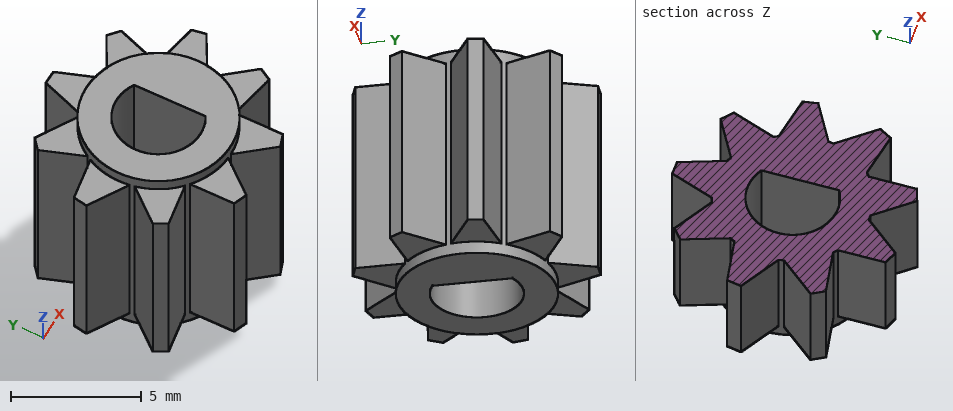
import cadquery as cq
import math

total_length = 9.0
hub_diameter = 6.2
collar_height = 0.5
tooth_length = total_length - 2 * collar_height

tooth_count = 9
tooth_pitch_angle = 360 / tooth_count
tip_distance = 4.755
tip_width = 0.61
flank_angle = 20.0
root_distance = 2.5

bore_diameter = 3.6
flat_distance = 0.9


def make_hub():
    return cq.Workplane("XY").circle(hub_diameter / 2).extrude(total_length)


def make_tooth():
    """One tooth pointing along +Y, widening from the tip to the foot."""
    half_tip = tip_width / 2
    flank_run = (tip_distance - root_distance) * math.tan(math.radians(flank_angle))
    half_foot = half_tip + flank_run
    return (
        cq.Workplane("XY")
        .workplane(offset=collar_height)
        .moveTo(-half_foot, root_distance)
        .lineTo(-half_tip, tip_distance)
        .lineTo(half_tip, tip_distance)
        .lineTo(half_foot, root_distance)
        .close()
        .extrude(tooth_length)
    )


def make_bore():
    """D-shaped through hole: a round bore cut short by a flat."""
    bore_radius = bore_diameter / 2
    half_flat = math.sqrt(bore_radius**2 - flat_distance**2)
    return (
        cq.Workplane("XY")
        .moveTo(flat_distance, -half_flat)
        .lineTo(flat_distance, half_flat)
        .threePointArc((-bore_radius, 0), (flat_distance, -half_flat))
        .close()
        .extrude(total_length)
    )


gear = make_hub()
tooth = make_tooth()
for index in range(tooth_count):
    gear = gear.union(tooth.rotate((0, 0, 0), (0, 0, 1), index * tooth_pitch_angle))

result = gear.cut(make_bore())